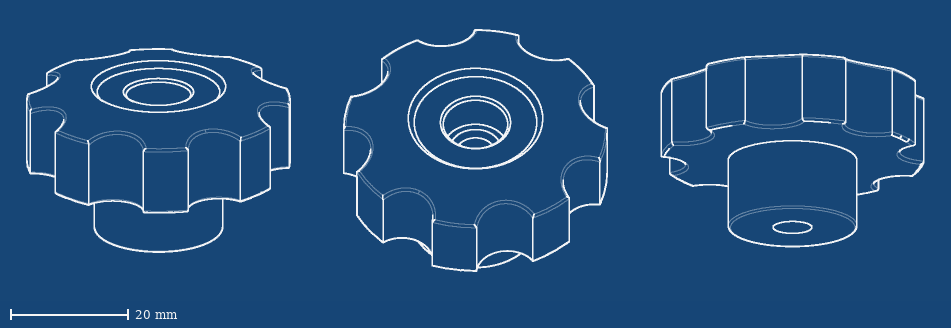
import cadquery as cq
import math

hub_diameter = 22.0
hub_height = 12.0
hub_edge_radius = 0.35
head_diameter = 45.0
overall_height = 26.15
crown_edge_height = 23.8
crown_radius = 54.9
head_edge_radius = 0.5

notch_count = 8
notch_radius = 5.25
notch_root_radius = 18.55

dish_diameter = 22.95
dish_depth = 1.0
bore_diameter = 11.0
bore_floor_height = 18.5
bore_chamfer = 0.5
hole_diameter = 6.65
hole_chamfer = 1.0

head_radius = head_diameter / 2
hub_radius = hub_diameter / 2
dish_radius = dish_diameter / 2
bore_radius = bore_diameter / 2
hole_radius = hole_diameter / 2
crown_middle_radius = (dish_radius + head_radius) / 2
dish_floor_height = overall_height - dish_depth


def crown_midpoint():
    """Middle point of the crown arc between the dish edge and the rim."""
    run = head_radius - dish_radius
    drop = overall_height - crown_edge_height
    chord = math.hypot(run, drop)
    bulge = crown_radius - math.sqrt(crown_radius**2 - (chord / 2) ** 2)
    middle_height = (overall_height + crown_edge_height) / 2
    return crown_middle_radius + bulge * drop / chord, middle_height + bulge * run / chord


def is_rim_edge(edge):
    """True for edges that start on the outer half of the crown, so on the notched outline."""
    start = edge.startPoint()
    return math.hypot(start.x, start.y) > crown_middle_radius


def make_head():
    """Domed head with finger notches and rounded upper and lower edges."""
    head = (
        cq.Workplane("XZ")
        .moveTo(0, hub_height)
        .lineTo(head_radius, hub_height)
        .lineTo(head_radius, crown_edge_height)
        .threePointArc(crown_midpoint(), (dish_radius, overall_height))
        .lineTo(0, overall_height)
        .close()
        .revolve(360, (0, 0, 0), (0, 1, 0))
    )
    notches = (
        cq.Workplane("XY")
        .polarArray(notch_root_radius + notch_radius, 0, 360, notch_count)
        .circle(notch_radius)
        .extrude(overall_height)
    )
    head = head.cut(notches)
    rim_edges = head.edges("not |Z").filter(is_rim_edge)
    return rim_edges.fillet(head_edge_radius)


def make_hub():
    """Cylindrical hub below the head with a rounded lower edge."""
    hub = cq.Workplane("XY").circle(hub_radius).extrude(hub_height)
    return hub.faces("<Z").edges().fillet(hub_edge_radius)


def make_bore():
    """Dish, chamfered bore and chamfered through hole as one cutting tool."""
    dish_floor_radius = dish_radius - dish_depth
    return (
        cq.Workplane("XZ")
        .moveTo(0, 0)
        .lineTo(hole_radius, 0)
        .lineTo(hole_radius, bore_floor_height - hole_chamfer)
        .lineTo(hole_radius + hole_chamfer, bore_floor_height)
        .lineTo(bore_radius, bore_floor_height)
        .lineTo(bore_radius, dish_floor_height - bore_chamfer)
        .lineTo(bore_radius + bore_chamfer, dish_floor_height)
        .lineTo(dish_floor_radius, dish_floor_height)
        .lineTo(dish_radius, overall_height)
        .lineTo(0, overall_height)
        .close()
        .revolve(360, (0, 0, 0), (0, 1, 0))
    )


result = make_head().union(make_hub()).cut(make_bore())